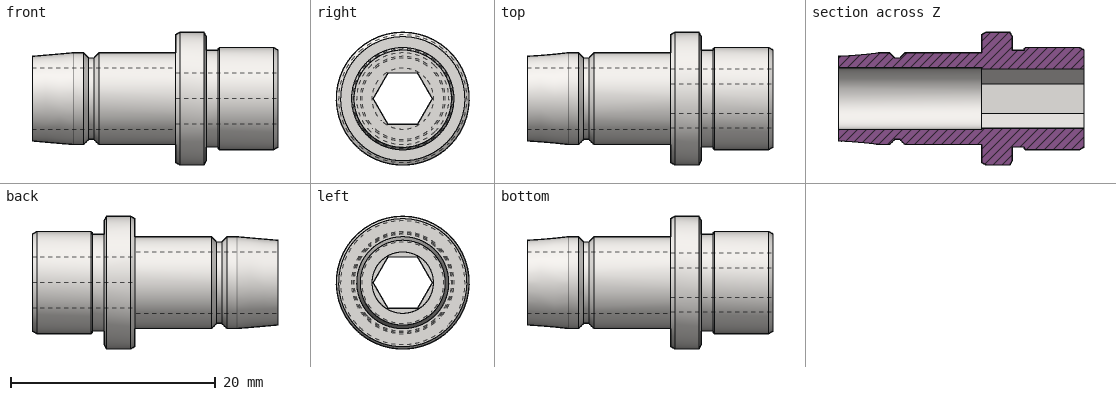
import cadquery as cq
import math

length = 24.0
taper_end = 4.0
groove_start = 5.0
groove_end = 6.5
flange_start = 14.0
flange_end = 17.0
head_start = 18.15

nose_diameter = 8.3
shank_diameter = 9.0
groove_diameter = 8.0
flange_diameter = 13.0
neck_diameter = 9.5
head_diameter = 10.0
bore_diameter = 6.0

bevel_long_leg = 0.43
bevel_short_leg = 0.25
head_front_chamfer = 0.12

bore_depth = flange_start
hex_across_flats = 5.0
hex_sides = 6

nose_radius = nose_diameter / 2
shank_radius = shank_diameter / 2
groove_radius = groove_diameter / 2
flange_radius = flange_diameter / 2
neck_radius = neck_diameter / 2
head_radius = head_diameter / 2
groove_depth = shank_radius - groove_radius


def turned_body():
    """Revolve the outer half profile, given as (X, radius) points, about the X axis."""
    profile = (
        cq.Workplane("XZ")
        .moveTo(0, 0)
        .lineTo(0, nose_radius)
        .lineTo(taper_end, shank_radius)
        .lineTo(groove_start, shank_radius)
        .lineTo(groove_start + groove_depth, groove_radius)
        .lineTo(groove_end - groove_depth, groove_radius)
        .lineTo(groove_end, shank_radius)
        .lineTo(flange_start, shank_radius)
        .lineTo(flange_start, flange_radius - bevel_short_leg)
        .lineTo(flange_start + bevel_long_leg, flange_radius)
        .lineTo(flange_end - bevel_short_leg, flange_radius)
        .lineTo(flange_end, flange_radius - bevel_long_leg)
        .lineTo(flange_end, neck_radius)
        .lineTo(head_start, neck_radius)
        .lineTo(head_start, head_radius - head_front_chamfer)
        .lineTo(head_start + head_front_chamfer, head_radius)
        .lineTo(length - bevel_long_leg, head_radius)
        .lineTo(length, head_radius - bevel_short_leg)
        .lineTo(length, 0)
        .close()
    )
    return profile.revolve(360, (0, 0, 0), (1, 0, 0))


def round_bore():
    return cq.Workplane("YZ").circle(bore_diameter / 2).extrude(bore_depth)


def hex_socket():
    """Through hexagon with two corners on the Y axis and flats facing +Z and -Z."""
    corner_diameter = hex_across_flats / math.cos(math.pi / hex_sides)
    return cq.Workplane("YZ").polygon(hex_sides, corner_diameter).extrude(length)


result = turned_body().cut(round_bore()).cut(hex_socket())